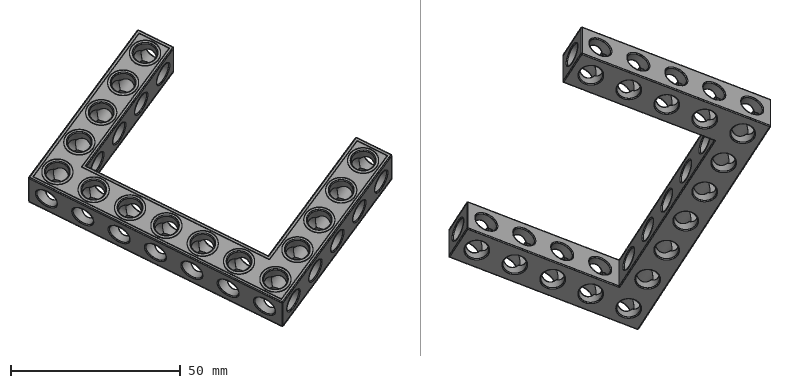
import cadquery as cq

length = 87.5
holes_across = 7
holes_per_arm = 5
hole_diameter = 7.0
chamfer_size = 0.3

border_width = 1.05
collar_diameter = 9.2
recess_depth = 0.2

pitch = length / holes_across
depth = holes_per_arm * pitch
half_pitch = pitch / 2
hole_radius = hole_diameter / 2


def row(count):
    """Centred hole positions along one direction."""
    return [(i - (count - 1) / 2) * pitch for i in range(count)]


columns = row(holes_across)
rows = row(holes_per_arm)
arm_columns = (columns[0], columns[-1])
base_row = rows[0]
base_centers = [(x, base_row) for x in columns]
arm_centers = [(x, y) for x in arm_columns for y in rows[1:]]
top_centers = base_centers + arm_centers


def u_frame(inset, bottom, height):
    """U-shaped prism opening toward +Y, with its outline moved inward by inset."""
    outer = (
        cq.Workplane("XY", origin=(0, 0, bottom))
        .rect(length - 2 * inset, depth - 2 * inset)
        .extrude(height)
    )
    opening = (
        cq.Workplane("XY", origin=(0, pitch, bottom))
        .rect(length - 2 * pitch + 2 * inset, depth + 2 * inset)
        .extrude(height)
    )
    return outer.cut(opening)


def chamfered_frame():
    """Solid square-section U with all edges chamfered except the two upright inside corners."""
    frame = u_frame(0, -half_pitch, pitch)
    inside_corners = cq.selectors.BoxSelector(
        (columns[0], base_row, -half_pitch / 2),
        (columns[-1], rows[1], half_pitch / 2),
    )
    return frame.edges(cq.selectors.InverseSelector(inside_corners)).chamfer(chamfer_size)


def top_recess():
    """Cutter for the recess, with a round collar left standing at each hole."""
    floor = half_pitch - recess_depth
    collars = (
        cq.Workplane("XY", origin=(0, 0, floor))
        .pushPoints(top_centers)
        .circle(collar_diameter / 2)
        .extrude(recess_depth)
    )
    return u_frame(border_width, floor, recess_depth).cut(collars)


def hole_cutter(span):
    """Through-hole cutter along Z, centred on the origin and flared at both ends."""
    half_span = span / 2
    mouth_radius = hole_radius + chamfer_size
    return (
        cq.Workplane("XZ")
        .moveTo(0, -half_span)
        .lineTo(mouth_radius, -half_span)
        .lineTo(hole_radius, -half_span + chamfer_size)
        .lineTo(hole_radius, half_span - chamfer_size)
        .lineTo(mouth_radius, half_span)
        .lineTo(0, half_span)
        .close()
        .revolve(360, (0, 0, 0), (0, 1, 0))
    )


section_cutter = hole_cutter(pitch)
z_cutter = section_cutter
x_cutter = section_cutter.rotate((0, 0, 0), (0, 1, 0), 90)
y_cutter = section_cutter.rotate((0, 0, 0), (1, 0, 0), 90)
base_bore = hole_cutter(length).rotate((0, 0, 0), (0, 1, 0), 90)
arm_bore = hole_cutter(depth).rotate((0, 0, 0), (1, 0, 0), 90)

result = chamfered_frame().cut(top_recess())
for x, y in top_centers:
    result = result.cut(z_cutter.translate((x, y, 0)))
for x, y in arm_centers:
    result = result.cut(x_cutter.translate((x, y, 0)))
for x in columns[1:-1]:
    result = result.cut(y_cutter.translate((x, base_row, 0)))
for x in arm_columns:
    result = result.cut(arm_bore.translate((x, 0, 0)))
result = result.cut(base_bore.translate((0, base_row, 0)))